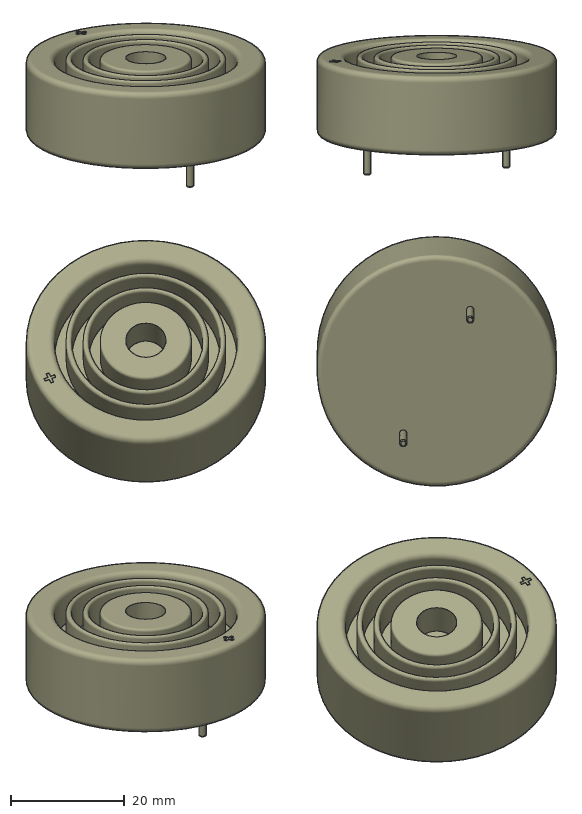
import cadquery as cq

body_diameter = 42.0
body_height = 14.0
top_edge_radius = 1.0
bottom_edge_radius = 0.9

cavity_diameter = 32.0
cavity_depth = 6.0
cavity_edge_radius = 1.0
ring_width = 1.0
ring_outer_diameters = (28.0, 22.0)
ring_edge_radius = 0.45
hub_diameter = 16.0
hub_edge_radius = 0.45
hub_hole_diameter = 7.0

pin_diameter = 1.3
pin_length = 6.55
pin_offset = 12.7
pin_tip_chamfer = 0.2

mark_span = 2.0
mark_arm_width = 0.5
mark_offset = 18.52
mark_depth = 0.1

floor_height = body_height - cavity_depth


def make_housing():
    """Cup with rounded outer edges and a rounded cavity mouth."""
    housing = cq.Workplane("XY").circle(body_diameter / 2).extrude(body_height)
    housing = housing.faces(">Z").edges().fillet(top_edge_radius)
    housing = housing.faces("<Z").edges().fillet(bottom_edge_radius)
    cavity = cq.Workplane("XY", origin=(0, 0, floor_height)).circle(cavity_diameter / 2).extrude(cavity_depth)
    housing = housing.cut(cavity)
    mouth = cq.selectors.RadiusNthSelector(0)
    return housing.faces(">Z").edges(mouth).fillet(cavity_edge_radius)


def make_ring(outer_diameter):
    """Thin upright wall with both top edges rounded, rooted in the cavity floor."""
    outer_radius = outer_diameter / 2
    ring = cq.Workplane("XY").circle(outer_radius).circle(outer_radius - ring_width).extrude(body_height)
    return ring.faces(">Z").edges().fillet(ring_edge_radius)


def make_hub():
    """Central post with a rounded rim and a blind hole down to the cavity floor."""
    hub = cq.Workplane("XY").circle(hub_diameter / 2).extrude(body_height)
    hub = hub.faces(">Z").edges().fillet(hub_edge_radius)
    hole = cq.Workplane("XY", origin=(0, 0, floor_height)).circle(hub_hole_diameter / 2).extrude(cavity_depth)
    return hub.cut(hole)


def make_pin(x):
    """Straight pin with a chamfered tip, starting inside the housing floor."""
    root_height = floor_height / 2
    pin = cq.Workplane("XY", origin=(x, 0, -pin_length)).circle(pin_diameter / 2).extrude(pin_length + root_height)
    return pin.faces("<Z").edges().chamfer(pin_tip_chamfer)


def make_polarity_mark():
    """Two crossed bars, sunk from the top face of the rim."""
    base = cq.Workplane("XY", origin=(-mark_offset, 0, body_height - mark_depth))
    bar_along_x = base.rect(mark_span, mark_arm_width).extrude(mark_depth)
    bar_along_y = base.rect(mark_arm_width, mark_span).extrude(mark_depth)
    return bar_along_x.union(bar_along_y)


result = make_housing().union(make_hub())
for ring_diameter in ring_outer_diameters:
    result = result.union(make_ring(ring_diameter))
for pin_x in (-pin_offset, pin_offset):
    result = result.union(make_pin(pin_x))
result = result.cut(make_polarity_mark())